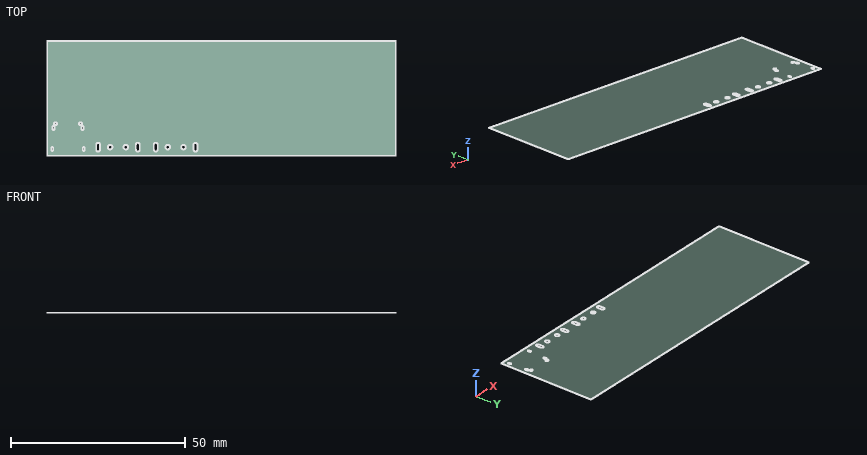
import cadquery as cq

SHEET_LENGTH = 100.0
SHEET_WIDTH = 33.01
SHEET_THICKNESS = 0.05

FIRST_GROUP_X = 20.31
GROUP_PITCH = 16.535
GROUP_COUNT = 2
LARGE_ROW_Y = 2.525
ROUND_HOLE_DIAMETER = 1.25
ROUND_HOLE_PITCH = 4.5
LARGE_SLOT_LENGTH = 2.49
LARGE_SLOT_WIDTH = 1.045
LARGE_SLOT_PITCH = 11.39

SMALL_CENTER_X = 5.99
LOWER_PITCH = 9.05
LOWER_Y = 1.98
LOWER_LENGTH = 1.03
LOWER_WIDTH = 0.485
MIDDLE_PITCH = 8.3
MIDDLE_Y = 8.03
MIDDLE_LENGTH = 1.15
MIDDLE_WIDTH = 0.6
UPPER_PITCH = 7.165
UPPER_Y = 9.22
UPPER_LENGTH = 0.95
UPPER_WIDTH = 0.65

UPRIGHT = 90.0
LEVEL = 0.0


def mirrored_pair(center_x, pitch, y):
    """Return two points placed evenly about center_x."""
    return [(center_x - pitch / 2, y), (center_x + pitch / 2, y)]


def round_hole_tools(points):
    """Cylinders that cut round holes through the sheet."""
    return cq.Workplane("XY").pushPoints(points).circle(ROUND_HOLE_DIAMETER / 2).extrude(SHEET_THICKNESS)


def slot_tools(points, length, width, angle):
    """Round-ended bars that cut slots through the sheet."""
    return cq.Workplane("XY").pushPoints(points).slot2D(length, width, angle).extrude(SHEET_THICKNESS)


def cut_large_group(sheet, center_x):
    """Cut two round holes and the slots on either side of them."""
    holes = mirrored_pair(center_x, ROUND_HOLE_PITCH, LARGE_ROW_Y)
    slots = mirrored_pair(center_x, LARGE_SLOT_PITCH, LARGE_ROW_Y)
    sheet = sheet.cut(round_hole_tools(holes))
    return sheet.cut(slot_tools(slots, LARGE_SLOT_LENGTH, LARGE_SLOT_WIDTH, UPRIGHT))


def cut_small_slots(sheet):
    """Cut the three mirrored pairs of small slots."""
    rows = (
        (LOWER_PITCH, LOWER_Y, LOWER_LENGTH, LOWER_WIDTH, UPRIGHT),
        (MIDDLE_PITCH, MIDDLE_Y, MIDDLE_LENGTH, MIDDLE_WIDTH, UPRIGHT),
        (UPPER_PITCH, UPPER_Y, UPPER_LENGTH, UPPER_WIDTH, LEVEL),
    )
    for pitch, y, length, width, angle in rows:
        points = mirrored_pair(SMALL_CENTER_X, pitch, y)
        sheet = sheet.cut(slot_tools(points, length, width, angle))
    return sheet


result = cq.Workplane("XY").box(SHEET_LENGTH, SHEET_WIDTH, SHEET_THICKNESS, centered=False)
for group_index in range(GROUP_COUNT):
    result = cut_large_group(result, FIRST_GROUP_X + group_index * GROUP_PITCH)
result = cut_small_slots(result)